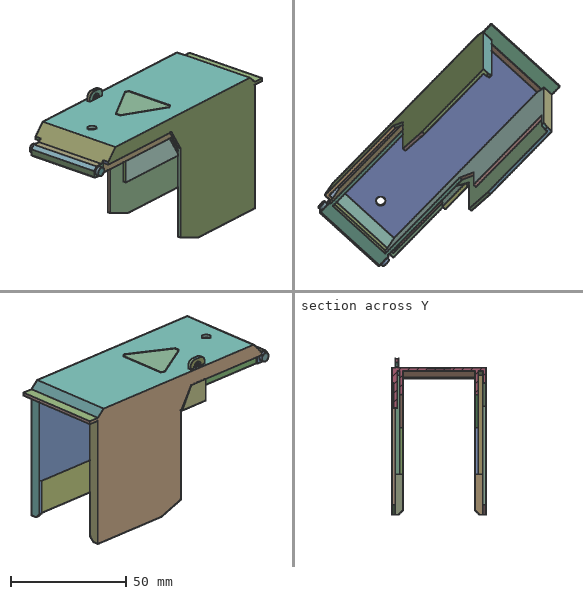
import cadquery as cq


width = 40.8
length = 111.2
height = 67.7
sheet = 1.5
half_width = width / 2

roof_z = 63.7
skirt_z = 57.0
roof_front_y = 11.1
roof_rear_y = 102.7
wall_front_y = 55.5
wall_rear_y = 106.3
hood_front_y = 5.0
cutaway_y = 49.4
cutaway_z = 47.0
toe_y = 67.5
toe_z = 4.3
lip_top_z = 60.5

bar_half_width = 17.6
bar_depth = 6.2
bar_bottom_z = 51.9
bar_top_chamfer = 1.7
bar_bottom_chamfer = 0.7
pin_half_length = 19.2
pin_diameter = 4.0
pin_y = 2.9
pin_z = 54.5

liner_outer_x = 17.0
liner_inner_x = liner_outer_x - sheet
liner_bottom_z = 17.7
liner_step_y = 53.2
liner_front_y = 61.9
liner_slope_z = 37.7
flange_chamfer = 2.0

eye_x = -19.0
eye_thickness = 1.6
eye_front_y = 39.7
eye_width = 8.6
eye_corner_radius = 2.8
eye_hole_radius = 2.0
eye_hole_base = 0.3
tab_x = -19.8
tab_thickness = 1.8
tab_bottom_z = 46.2
tab_rear_y = 54.1
tab_top_rear_y = 48.4

hole_diameter = 4.0
hole_y = 19.9
mark_depth = 0.3
mark_rear_y = 59.1
mark_corner_y = 57.5
mark_front_y = 37.7
mark_rear_half_width = 11.6
mark_corner_half_width = 12.3
mark_front_half_width = 1.2


def side_plate(points, x_start, x_end):
    """Extrude a (Y, Z) outline between two X positions."""
    plate = cq.Workplane("YZ").polyline(points).close().extrude(x_end - x_start)
    return plate.translate((x_start, 0, 0))


def box_between(low, high):
    """Box spanned by two opposite corners."""
    size = [b - a for a, b in zip(low, high)]
    return cq.Workplane("XY").box(*size, centered=False).translate(low)


def make_hood():
    outline = [
        (hood_front_y, skirt_z),
        (roof_front_y, roof_z),
        (roof_rear_y, roof_z),
        (wall_rear_y, lip_top_z),
        (wall_rear_y, 0),
        (toe_y, 0),
        (wall_front_y, toe_z),
        (wall_front_y, cutaway_z),
        (cutaway_y, skirt_z),
    ]
    cavity = [
        (hood_front_y + sheet, skirt_z - sheet),
        (roof_front_y + sheet / 2, roof_z - sheet),
        (roof_rear_y - sheet / 2, roof_z - sheet),
        (wall_rear_y - sheet / 2, lip_top_z - sheet),
        (length, lip_top_z - sheet),
        (length, -sheet),
        (hood_front_y + sheet, -sheet),
    ]
    hood = side_plate(outline, -half_width, half_width)
    hood = hood.cut(side_plate(cavity, sheet - half_width, half_width - sheet))
    for x in (-half_width, bar_half_width):
        notch = box_between((x, 0, 0), (x + half_width - bar_half_width, bar_depth, roof_z))
        hood = hood.cut(notch)
    rear_lip = box_between(
        (-half_width, wall_rear_y - sheet, lip_top_z - sheet),
        (half_width, length, lip_top_z),
    )
    return hood.union(rear_lip)


def make_hinge_bar():
    outline = [
        (bar_depth, bar_bottom_z),
        (bar_bottom_chamfer, bar_bottom_z),
        (0, bar_bottom_z + bar_bottom_chamfer),
        (0, skirt_z - bar_top_chamfer),
        (bar_top_chamfer, skirt_z),
        (bar_depth, skirt_z),
    ]
    bar = side_plate(outline, -bar_half_width, bar_half_width)
    pin = (
        cq.Workplane("YZ")
        .center(pin_y, pin_z)
        .circle(pin_diameter / 2)
        .extrude(pin_half_length, both=True)
    )
    return bar.union(pin)


def make_left_liner():
    """Liner side plate with the rear flange that joins it to the left wall."""
    outline = [
        (bar_depth, bar_bottom_z),
        (bar_depth, skirt_z),
        (roof_front_y + sheet / 2, roof_z - sheet / 2),
        (roof_rear_y - sheet / 2, roof_z - sheet / 2),
        (wall_rear_y - sheet / 2, lip_top_z - sheet / 2),
        (wall_rear_y - sheet / 2, liner_bottom_z),
        (liner_front_y, liner_bottom_z),
        (liner_front_y, liner_slope_z),
        (liner_step_y, bar_bottom_z),
    ]
    liner = side_plate(outline, -liner_outer_x, -liner_inner_x)
    flange = box_between(
        (-half_width, wall_rear_y - sheet, 0),
        (-liner_inner_x, wall_rear_y, lip_top_z),
    )
    flange = flange.edges("|Y and >X and <Z").chamfer(flange_chamfer)
    gap_web = box_between(
        (-half_width + sheet / 2, wall_rear_y - 2 * sheet, liner_bottom_z),
        (-liner_inner_x, wall_rear_y - sheet, lip_top_z),
    )
    return liner.union(flange).union(gap_web)


def make_eye():
    plate = box_between(
        (eye_x, eye_front_y, roof_z - sheet),
        (eye_x + eye_thickness, eye_front_y + eye_width, height),
    )
    plate = plate.edges("|X and >Z").fillet(eye_corner_radius)
    hole = (
        cq.Workplane("YZ")
        .center(eye_front_y + eye_width / 2, roof_z + eye_hole_base)
        .moveTo(-eye_hole_radius, 0)
        .threePointArc((0, eye_hole_radius), (eye_hole_radius, 0))
        .close()
        .extrude(half_width, both=True)
    )
    return plate.cut(hole)


def make_tab():
    outline = [
        (eye_front_y, tab_bottom_z),
        (eye_front_y, roof_z - sheet / 2),
        (tab_top_rear_y, roof_z - sheet / 2),
        (tab_top_rear_y, skirt_z),
        (tab_rear_y, tab_bottom_z),
    ]
    return side_plate(outline, tab_x, tab_x + tab_thickness)


def make_roof_mark():
    """Shallow triangular recess with blunted corners, pointing to the front."""
    right_side = [
        (mark_front_half_width, mark_front_y),
        (mark_corner_half_width, mark_corner_y),
        (mark_rear_half_width, mark_rear_y),
    ]
    left_side = [(-x, y) for x, y in reversed(right_side)]
    floor = cq.Workplane("XY").workplane(offset=roof_z - mark_depth)
    return floor.polyline(right_side + left_side).close().extrude(sheet)


def make_roof_hole():
    start = cq.Workplane("XY").workplane(offset=roof_z - 2 * sheet)
    return start.center(0, hole_y).circle(hole_diameter / 2).extrude(3 * sheet)


left_liner = make_left_liner()
result = make_hood().union(make_hinge_bar())
result = result.union(left_liner).union(left_liner.mirror("YZ"))
result = result.union(make_eye()).union(make_tab())
result = result.cut(make_roof_mark()).cut(make_roof_hole())